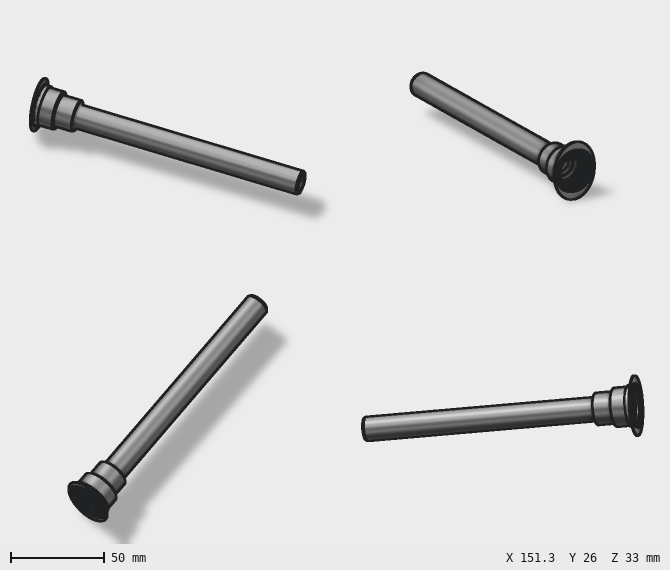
import cadquery as cq
import math

plate_width = 26.0
plate_height = 33.0
plate_thickness = 0.6
rim_chamfer = 0.2
collar_diameter = 22.4
collar_end = 3.6
collar_root = 0.5
socket_diameter = 21.0
mouth_flare = 1.5
mouth_depth = 0.9

total_length = 151.3
face_position = 0.9
face_diameter = 20.0
head_diameter = 21.2
head_end = 12.1
head_chamfer = 0.6
neck_diameter = 17.5
neck_end = 22.4
neck_chamfer = 0.5
root_fillet = 1.4
tube_diameter = 13.2
tip_diameter = 12.0
tip_length = 0.9

cavity_diameter = 17.0
mouth_chamfer = 0.3
cavity_end = 10.0
seat_position = 11.2
seat_outer_diameter = 13.2
seat_inner_diameter = 12.0
cone_end = 12.4
bore_diameter = 8.2

groove_start = 2.7
groove_pitch = 2.4
groove_width = 1.2
groove_depth = 0.3
groove_count = 3


def revolve_about_x(outline):
    """Revolve a closed (x, radius) outline about the X axis."""
    return outline.close().revolve(360, (0, 0, 0), (1, 0, 0))


def make_escutcheon():
    plate = cq.Workplane("YZ").ellipse(plate_width / 2, plate_height / 2).extrude(plate_thickness)
    plate = plate.faces("<X").edges().chamfer(rim_chamfer)
    collar_radius = collar_diameter / 2
    socket_radius = socket_diameter / 2
    collar = revolve_about_x(cq.Workplane("XY").polyline([
        (rim_chamfer, 0),
        (rim_chamfer, collar_radius + collar_root),
        (plate_thickness, collar_radius + collar_root),
        (plate_thickness + collar_root, collar_radius),
        (collar_end, collar_radius),
        (collar_end, 0),
    ]))
    socket = revolve_about_x(cq.Workplane("XY").polyline([
        (0, 0),
        (0, socket_radius + mouth_flare),
        (mouth_depth, socket_radius),
        (collar_end, socket_radius),
        (collar_end, 0),
    ]))
    return plate.union(collar).cut(socket)


def make_tube_outside():
    socket_radius = socket_diameter / 2
    head_radius = head_diameter / 2
    neck_radius = neck_diameter / 2
    tube_radius = tube_diameter / 2
    tip_radius = tip_diameter / 2
    face_radius = face_diameter / 2
    tip_start = total_length - tip_length
    fillet_middle = root_fillet * (1 - math.sqrt(0.5))
    outline = (
        cq.Workplane("XY")
        .moveTo(face_position, 0)
        .lineTo(face_position, face_radius)
        .lineTo(face_position + socket_radius - face_radius, socket_radius)
        .lineTo(collar_end, socket_radius)
        .lineTo(collar_end, head_radius)
        .lineTo(head_end - head_chamfer, head_radius)
        .lineTo(head_end, head_radius - head_chamfer)
        .lineTo(head_end, neck_radius)
        .lineTo(neck_end - neck_chamfer, neck_radius)
        .lineTo(neck_end, neck_radius - neck_chamfer)
        .lineTo(neck_end, tube_radius + root_fillet)
        .threePointArc(
            (neck_end + fillet_middle, tube_radius + fillet_middle),
            (neck_end + root_fillet, tube_radius),
        )
        .lineTo(tip_start, tube_radius)
        .lineTo(tip_start, tip_radius)
        .lineTo(total_length, tip_radius)
        .lineTo(total_length, 0)
    )
    return revolve_about_x(outline)


def make_cavity():
    cavity_radius = cavity_diameter / 2
    return revolve_about_x(cq.Workplane("XY").polyline([
        (face_position, 0),
        (face_position, cavity_radius + mouth_chamfer),
        (face_position + mouth_chamfer, cavity_radius),
        (cavity_end, cavity_radius),
        (seat_position, seat_outer_diameter / 2),
        (seat_position, seat_inner_diameter / 2),
        (cone_end, bore_diameter / 2),
        (total_length, bore_diameter / 2),
        (total_length, 0),
    ]))


def make_groove(start):
    """Disc with a V-shaped rim that stands out past the cavity wall."""
    cavity_radius = cavity_diameter / 2
    return revolve_about_x(cq.Workplane("XY").polyline([
        (start, 0),
        (start, cavity_radius),
        (start + groove_width / 2, cavity_radius + groove_depth),
        (start + groove_width, cavity_radius),
        (start + groove_width, 0),
    ]))


def make_tube():
    tube = make_tube_outside().cut(make_cavity())
    for index in range(groove_count):
        tube = tube.cut(make_groove(groove_start + index * groove_pitch))
    return tube


escutcheon = make_escutcheon()
tube = make_tube()
result = cq.Compound.makeCompound([escutcheon.val(), tube.val()])